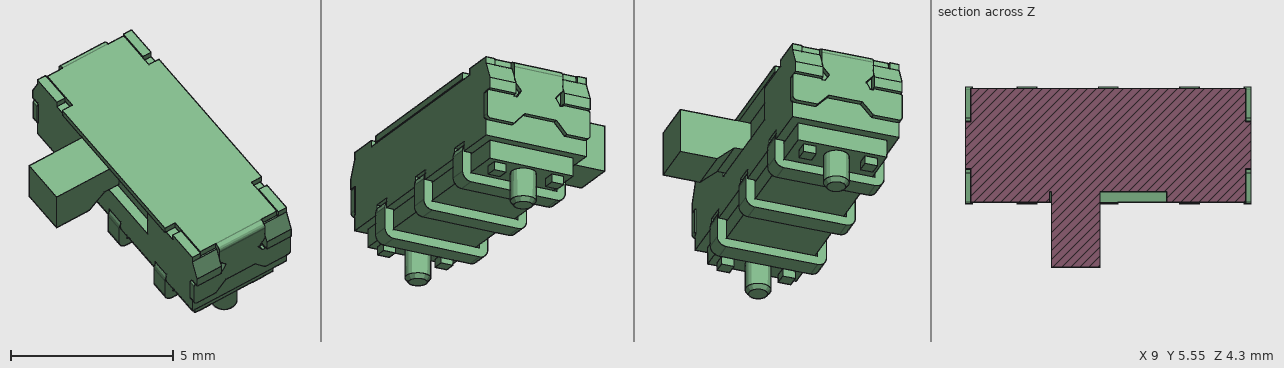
import cadquery as cq


top_z = 3.6
housing_half_x = 4.24
housing_half_y = 1.755
housing_bottom_z = 0.97
base_half_x = 3.94
base_half_y = 1.46
base_bottom_z = 0.37

sheet = 0.22
shoulder_z = top_z - sheet
cover_half_y = 1.8
cover_wide_half_x = 2.81
cover_end_half_x = 4.185
cover_end_half_y = 1.42
plate_outer_x = cover_end_half_x + sheet
strap_half_y = 0.85
strap_bend_radius = 0.21
post_inner_x = 3.17
post_inner_y = 1.45

wing_top_z = 2.44
wing_bottom_z = 1.49
wing_top_radius = 0.07
wing_bottom_radius = 0.13
plate_arch_z = 1.89
plate_arch_half_top = 0.55
plate_arch_half_bottom = 0.92
plate_arch_center_y = -0.07
notch_tip_y = 0.6
notch_tip_z = 2.63
notch_top_z = 2.91
notch_bottom_y = 0.75
notch_bottom_z = 2.4

clip_outer_x = 4.5
clip_ramp_bottom_z = 2.81
clip_bottom_z = 2.46

window_half_x = 1.8
window_bottom_z = 2.24
window_depth = 0.32
slider_width = 1.5
slider_center_x = -1.0
slider_top_z = 3.35
slider_bottom_z = 1.84
slider_tip_y = -3.75
neck_bottom_z = 2.35
neck_end_y = -1.97
knob_slope_end_y = -2.54

terminal_pitch = 2.5
terminal_width = 0.61
terminal_half_y = cover_half_y
terminal_thickness = 0.3
terminal_inner_half_y = terminal_half_y - terminal_thickness
terminal_top_z = 1.3

pin_x = 3.4
pin_diameter = 0.8
pin_bottom_z = -0.7
pin_chamfer_radial = 0.11
pin_chamfer_height = 0.14
foot_length = 0.405
foot_width = 0.41
foot_x = 3.57
foot_y = 1.01
foot_bottom_z = 0.1


def block(x_min, x_max, y_min, y_max, z_min, z_max):
    """Axis-aligned box between the given limits."""
    size = (x_max - x_min, y_max - y_min, z_max - z_min)
    return cq.Workplane("XY").box(*size, centered=False).translate((x_min, y_min, z_min))


def centered_block(half_x, half_y, z_min, z_max):
    """Box that is symmetric about the X and Y axes."""
    return block(-half_x, half_x, -half_y, half_y, z_min, z_max)


def both_ends(shape):
    """The shape together with its mirror image at the other X end."""
    return shape.union(shape.mirror("YZ"))


def both_sides(shape):
    """The shape together with its mirror image at the other Y side."""
    return shape.union(shape.mirror("XZ"))


def make_housing():
    housing = centered_block(housing_half_x, housing_half_y, housing_bottom_z, shoulder_z)
    base = centered_block(base_half_x, base_half_y, base_bottom_z, housing_bottom_z)
    window = block(
        -window_half_x, window_half_x,
        -housing_half_y, -housing_half_y + window_depth,
        window_bottom_z, shoulder_z,
    )
    post = block(
        post_inner_x, housing_half_x, post_inner_y, housing_half_y, shoulder_z, top_z
    )
    return housing.cut(window).union(base).union(both_ends(both_sides(post)))


def make_clips():
    profile = [
        (housing_half_x, shoulder_z),
        (clip_outer_x, clip_ramp_bottom_z),
        (clip_outer_x, clip_bottom_z),
        (housing_half_x, clip_bottom_z),
    ]
    clip = (
        cq.Workplane("XZ", origin=(0, housing_half_y, 0))
        .polyline(profile).close()
        .extrude(housing_half_y - strap_half_y)
    )
    return both_ends(both_sides(clip))


def make_cover():
    middle = centered_block(cover_wide_half_x, cover_half_y, shoulder_z, top_z)
    ends = centered_block(cover_end_half_x, cover_end_half_y, shoulder_z, top_z)
    return middle.union(ends)


def make_end_plates():
    wings = (
        block(
            cover_end_half_x, plate_outer_x, -cover_half_y, cover_half_y,
            wing_bottom_z, wing_top_z,
        )
        .edges("|X and >Z").fillet(wing_top_radius)
        .edges("|X and <Z").fillet(wing_bottom_radius)
    )
    strap = (
        block(
            cover_end_half_x, plate_outer_x, -strap_half_y, strap_half_y,
            plate_arch_z, top_z,
        )
        .edges("|Y and >X and >Z").fillet(strap_bend_radius)
    )
    plane = cq.Workplane("YZ", origin=(housing_half_x, 0, 0))
    notch = plane.polyline([
        (strap_half_y, notch_top_z),
        (notch_tip_y, notch_tip_z),
        (notch_bottom_y, notch_bottom_z),
        (strap_half_y, notch_bottom_z),
    ]).close().extrude(sheet)
    arch = plane.polyline([
        (plate_arch_center_y - plate_arch_half_bottom, wing_bottom_z),
        (plate_arch_center_y - plate_arch_half_top, plate_arch_z),
        (plate_arch_center_y + plate_arch_half_top, plate_arch_z),
        (plate_arch_center_y + plate_arch_half_bottom, wing_bottom_z),
    ]).close().extrude(sheet)
    return both_ends(wings.union(strap).cut(both_sides(notch)).cut(arch))


def make_slider():
    profile = [
        (-housing_half_y + window_depth, slider_top_z),
        (slider_tip_y, slider_top_z),
        (slider_tip_y, slider_bottom_z),
        (knob_slope_end_y, slider_bottom_z),
        (neck_end_y, neck_bottom_z),
        (-housing_half_y + window_depth, neck_bottom_z),
    ]
    return (
        cq.Workplane("YZ", origin=(slider_center_x - slider_width / 2, 0, 0))
        .polyline(profile).close()
        .extrude(slider_width)
    )


def at_terminals(shape):
    """Three copies of the shape, one at each terminal position along X."""
    copies = shape
    for side in (-1, 1):
        copies = copies.union(shape.translate((side * terminal_pitch, 0, 0)))
    return copies


def make_terminal_slots():
    """Slots in the housing sides where the upper terminal bends turn inwards."""
    slot = block(
        -terminal_width / 2, terminal_width / 2,
        terminal_inner_half_y, housing_half_y,
        housing_bottom_z, terminal_top_z,
    )
    return at_terminals(both_sides(slot))


def make_terminals():
    outside = (
        cq.Workplane("XY")
        .box(terminal_width, 2 * terminal_half_y, terminal_top_z, centered=(True, True, False))
        .edges("|X").fillet(terminal_thickness)
    )
    inside = centered_block(
        terminal_width / 2, terminal_inner_half_y, terminal_thickness, terminal_top_z
    )
    return at_terminals(outside.cut(inside))


def make_pins_and_feet():
    pin = (
        cq.Workplane("XY", origin=(pin_x, 0, pin_bottom_z))
        .circle(pin_diameter / 2)
        .extrude(base_bottom_z - pin_bottom_z)
        .faces("<Z").chamfer(pin_chamfer_height, pin_chamfer_radial)
    )
    foot = block(
        foot_x - foot_length / 2, foot_x + foot_length / 2,
        foot_y - foot_width / 2, foot_y + foot_width / 2,
        foot_bottom_z, base_bottom_z,
    )
    return both_ends(pin.union(both_sides(foot)))


result = (
    make_housing()
    .cut(make_terminal_slots())
    .union(make_clips())
    .union(make_cover())
    .union(make_end_plates())
    .union(make_slider())
    .union(make_terminals())
    .union(make_pins_and_feet())
)